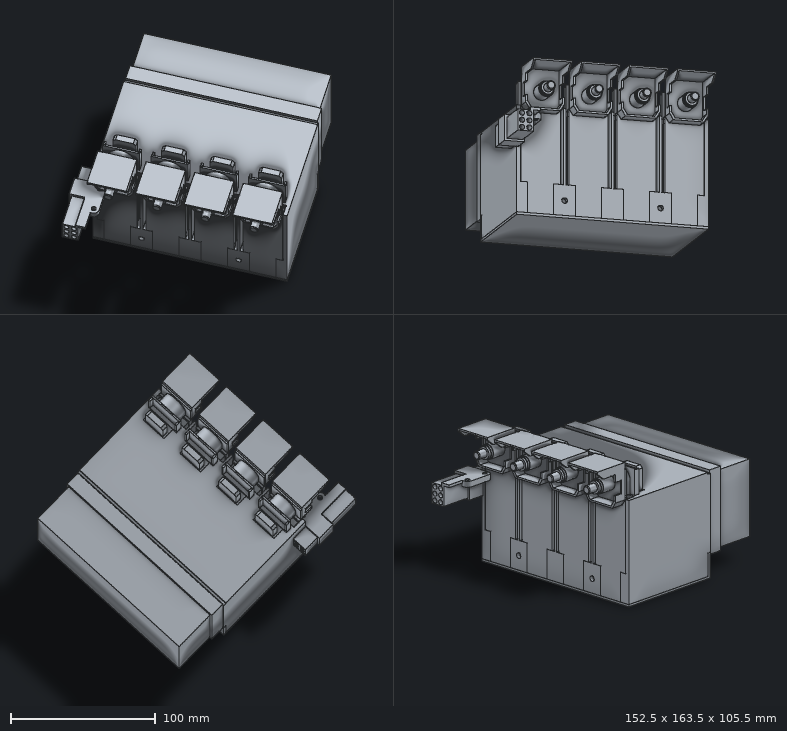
import cadquery as cq

OVERALL_DEPTH = 163.5
OVERALL_HEIGHT = 105.5
POLE_COUNT = 4
POLE_PITCH = 34.8
WIDTH = POLE_COUNT * POLE_PITCH
HOUSING_TOP = 78.2
PLATE_THICKNESS = 1.8
STEP_DROP = 1.3

FLANGE_WIDTH = 137.7
FLANGE_BOTTOM = 17.0
FLANGE_TOP = 79.1
FLANGE_THICKNESS = 11.1
BLOCK_WIDTH = 134.4
BLOCK_BOTTOM = 19.0
BLOCK_TOP = 76.0
BLOCK_DEPTH = 31.2
CONNECTOR_REACH = 38.6
HOUSING_DEPTH = OVERALL_DEPTH - CONNECTOR_REACH - BLOCK_DEPTH - FLANGE_THICKNESS

WALL_THICKNESS = 2.3
WALL_TOP = BLOCK_BOTTOM
WALL_FRONT = HOUSING_DEPTH - WALL_THICKNESS

POCKET_DEPTH = 8.5
SIDE_WALL = 3.0
RIB_WIDTH = 2.0
PANEL_WIDTH = 28.5
PANEL_FACE_THICKNESS = 3.1
BACKING_WIDTH = 26.8
BACKING_DROP = 4.1
STEM_WIDTH = 19.0
SHOULDER_Z = 23.7
TAB_HOLE_DIAMETER = 4.0
TAB_HOLE_Z = 12.5
TAB_HOLE_DEPTH = 3.3
TAB_HOLE_POLES = (-1, 1)

HOOD_WIDTH = 28.1
HOOD_BOTTOM = 73.5
HOOD_WALL = 1.3
HOOD_DEPTH = 10.0
ROOF_REACH = 27.8
ROOF_SIDE_HEIGHT = 6.7
ROOF_TIP_HEIGHT = 2.0
ROOF_SLOPE_LENGTH = 5.7
HOOD_CHAMFER_X = 2.8
HOOD_CHAMFER_Z = 4.4
HOOD_BACK = 1.3
WINDOW_BOTTOM = 83.4
WINDOW_TOP = 93.2
WINDOW_DEPTH = 6.4

STUD_Z = 87.8
NUT_RADIUS = 5.5
NUT_END = 12.9
WASHER_RADIUS = 5.2
WASHER_END = 14.5
COLLAR_RADIUS = 4.7
COLLAR_END = 16.5
STUD_RADIUS = 3.1
STUD_END = 24.4
STUD_CHAMFER = 0.7

BACK_PLATE_WIDTH = 27.8
BACK_PLATE_THICKNESS = 1.3
BACK_PLATE_TOP = 100.2
BARREL_RADIUS = 9.0
BARREL_REAR = 10.5
CLAMP_FRONT = BARREL_REAR
CLAMP_WIDTH = 26.5
CLAMP_REAR = 14.9
CLAMP_SIDE_TOP = 97.0
CLAMP_PLATE_TOP = 98.0
CLAMP_WALL = 1.3
POST_WIDTH = 16.7
POST_FRONT = 19.0
POST_REAR = 23.4
POST_TOP = 95.8
POST_CHAMFER = 2.0
SLOT_WIDTH = 19.6
SLOT_REAR = 23.9
SLOT_DEPTH = 3.3

PLUG_LEFT = 81.1
PLUG_BOTTOM = 49.9
PLUG_TOP = 65.0
PLUG_REAR = 12.3
BODY_LEFT = 82.9
BODY_RIGHT = 68.5
BODY_BOTTOM = 48.4
BODY_TOP = 67.0
BODY_DEPTH = 13.9
ARM_LEFT = 71.8
ARM_RIGHT = 64.6
EAR_X = -63.1
EAR_RADIUS = 4.0
EAR_THICKNESS = 4.4
EAR_HOLE_YS = (-4.3, -21.6)
EAR_HOLE_DIAMETER = 3.3
PIN_HOLE_DIAMETER = 3.6
PIN_PITCH_X = 5.4
PIN_PITCH_Z = 5.0


def box(x_range, y_range, z_range):
    """Block between the two limits given for each axis."""
    size = [high - low for low, high in (x_range, y_range, z_range)]
    corner = (x_range[0], y_range[0], z_range[0])
    return cq.Workplane("XY").box(*size, centered=False).translate(corner)


def centred_box(width, y_range, z_range, x=0):
    """Block of the given width, centred on x."""
    return box((x - width / 2, x + width / 2), y_range, z_range)


def rod(radius, y_rear, y_front, x, z):
    """Round rod along Y."""
    return cq.Workplane("XZ", origin=(x, y_rear, z)).circle(radius).extrude(y_rear - y_front)


def pole_x(index):
    return (index - (POLE_COUNT - 1) / 2) * POLE_PITCH


def make_chassis():
    bottom = centred_box(WIDTH, (0, HOUSING_DEPTH), (0, PLATE_THICKNESS))
    rear_wall = centred_box(WIDTH, (WALL_FRONT, HOUSING_DEPTH), (0, WALL_TOP))
    return bottom.union(rear_wall)


def pocket_limits(index):
    """Left and right sides of one front pocket; the end pockets stop at the side walls."""
    left = pole_x(index) - POLE_PITCH / 2 + RIB_WIDTH / 2
    right = pole_x(index) + POLE_PITCH / 2 - RIB_WIDTH / 2
    inner_side = WIDTH / 2 - SIDE_WALL
    return max(left, -inner_side), min(right, inner_side)


def make_housing():
    housing = centred_box(WIDTH, (0, WALL_FRONT), (PLATE_THICKNESS, HOUSING_TOP))
    rear_step = (WALL_TOP, HOUSING_TOP - STEP_DROP)
    housing = housing.union(centred_box(WIDTH, (WALL_FRONT, HOUSING_DEPTH), rear_step))
    for index in range(POLE_COUNT):
        x = pole_x(index)
        pocket = box(pocket_limits(index), (0, POCKET_DEPTH), (SHOULDER_Z, HOUSING_TOP))
        stem_slot = centred_box(STEM_WIDTH, (0, POCKET_DEPTH), (PLATE_THICKNESS, SHOULDER_Z), x)
        housing = housing.cut(pocket).cut(stem_slot).cut(make_slot_pad(x))
    for side in TAB_HOLE_POLES:
        hole = rod(TAB_HOLE_DIAMETER / 2, TAB_HOLE_DEPTH, 0, side * POLE_PITCH, TAB_HOLE_Z)
        housing = housing.cut(hole)
    return housing


def make_rear_unit():
    flange_rear = HOUSING_DEPTH + FLANGE_THICKNESS
    flange = centred_box(FLANGE_WIDTH, (HOUSING_DEPTH, flange_rear), (FLANGE_BOTTOM, FLANGE_TOP))
    block_range = (flange_rear, flange_rear + BLOCK_DEPTH)
    return flange.union(centred_box(BLOCK_WIDTH, block_range, (BLOCK_BOTTOM, BLOCK_TOP)))


def make_slot_pad(x):
    """Pad under the post, let into the top of the housing."""
    return centred_box(SLOT_WIDTH, (CLAMP_FRONT, SLOT_REAR), (HOUSING_TOP - SLOT_DEPTH, HOUSING_TOP), x)


def hood_outline(inset):
    """Front outline of the hood, moved inwards by inset, with its lower corners cut off."""
    half = HOOD_WIDTH / 2 - inset
    bottom = HOOD_BOTTOM + inset
    top = OVERALL_HEIGHT - inset
    return [
        (-half, top),
        (-half, bottom + HOOD_CHAMFER_Z),
        (-half + HOOD_CHAMFER_X, bottom),
        (half - HOOD_CHAMFER_X, bottom),
        (half, bottom + HOOD_CHAMFER_Z),
        (half, top),
    ]


def make_hood():
    outer = cq.Workplane("XZ").polyline(hood_outline(0)).close().extrude(ROOF_REACH)
    inner = cq.Workplane("XZ", origin=(0, -HOOD_BACK, 0)).polyline(hood_outline(HOOD_WALL)).close()
    roof_underside = OVERALL_HEIGHT - ROOF_SIDE_HEIGHT
    side_profile = [
        (0, OVERALL_HEIGHT),
        (0, HOOD_BOTTOM),
        (-HOOD_DEPTH, HOOD_BOTTOM),
        (-HOOD_DEPTH, roof_underside),
        (-ROOF_REACH + ROOF_SLOPE_LENGTH, roof_underside),
        (-ROOF_REACH, OVERALL_HEIGHT - ROOF_TIP_HEIGHT),
        (-ROOF_REACH, OVERALL_HEIGHT),
    ]
    side = cq.Workplane("YZ").polyline(side_profile).close().extrude(HOOD_WIDTH / 2, both=True)
    windows = centred_box(
        HOOD_WIDTH,
        (-HOOD_DEPTH, -HOOD_DEPTH + WINDOW_DEPTH),
        (WINDOW_BOTTOM, WINDOW_TOP),
    )
    return outer.intersect(side).cut(inner.extrude(ROOF_REACH)).cut(windows)


def make_stud():
    shank = rod(STUD_RADIUS, 0, -STUD_END, 0, STUD_Z).faces("<Y").chamfer(STUD_CHAMFER)
    nut = rod(NUT_RADIUS, 0, -NUT_END, 0, STUD_Z)
    washer = rod(WASHER_RADIUS, 0, -WASHER_END, 0, STUD_Z)
    collar = rod(COLLAR_RADIUS, 0, -COLLAR_END, 0, STUD_Z)
    return shank.union(nut).union(washer).union(collar)


def make_panel():
    """T-shaped front panel with a lower, narrower backing; its stem reaches down to the chassis."""
    face = centred_box(PANEL_WIDTH, (0, PANEL_FACE_THICKNESS), (SHOULDER_Z, HOUSING_TOP))
    backing_height = (SHOULDER_Z, HOUSING_TOP - BACKING_DROP)
    backing = centred_box(BACKING_WIDTH, (PANEL_FACE_THICKNESS, POCKET_DEPTH), backing_height)
    stem = centred_box(STEM_WIDTH, (0, POCKET_DEPTH), (PLATE_THICKNESS, SHOULDER_Z))
    return face.union(backing).union(stem)


def make_clamp():
    """Upright plate with a side wall at each end and a floor between them, open to the rear."""
    plate_rear = CLAMP_FRONT + CLAMP_WALL
    plate = centred_box(CLAMP_WIDTH, (CLAMP_FRONT, plate_rear), (HOUSING_TOP, CLAMP_PLATE_TOP))
    sides = centred_box(CLAMP_WIDTH, (plate_rear, CLAMP_REAR), (HOUSING_TOP, CLAMP_SIDE_TOP))
    opening = (HOUSING_TOP + CLAMP_WALL, CLAMP_SIDE_TOP)
    inside = centred_box(CLAMP_WIDTH - 2 * CLAMP_WALL, (plate_rear, CLAMP_REAR), opening)
    return plate.union(sides.cut(inside))


def make_contacts():
    """Back plate, barrel, clamp and post standing on top of the housing."""
    back_plate = centred_box(BACK_PLATE_WIDTH, (0, BACK_PLATE_THICKNESS), (HOUSING_TOP, BACK_PLATE_TOP))
    barrel = rod(BARREL_RADIUS, BARREL_REAR, 0, 0, STUD_Z)
    barrel_foot = centred_box(2 * BARREL_RADIUS, (0, BARREL_REAR), (HOUSING_TOP, STUD_Z))
    post = centred_box(POST_WIDTH, (POST_FRONT, POST_REAR), (HOUSING_TOP, POST_TOP))
    post = post.edges("|Y and >Z").chamfer(POST_CHAMFER)
    contacts = back_plate.union(barrel).union(barrel_foot)
    return contacts.union(make_clamp()).union(post).union(make_slot_pad(0))


def make_terminal(index):
    terminal = make_panel().union(make_hood()).union(make_stud()).union(make_contacts())
    return terminal.translate((pole_x(index), 0, 0))


def make_ear():
    """Rounded strip with two vertical holes."""
    length = EAR_HOLE_YS[0] - EAR_HOLE_YS[1]
    middle = (EAR_HOLE_YS[0] + EAR_HOLE_YS[1]) / 2
    base = cq.Workplane("XY", origin=(EAR_X, middle, BODY_TOP - EAR_THICKNESS))
    return base.slot2D(length + 2 * EAR_RADIUS, 2 * EAR_RADIUS, 90).extrude(EAR_THICKNESS)


def make_connector():
    plug_right = -WIDTH / 2
    plug = box((-PLUG_LEFT, plug_right), (-CONNECTOR_REACH, PLUG_REAR), (PLUG_BOTTOM, PLUG_TOP))
    body = box((-BODY_LEFT, -BODY_RIGHT), (-BODY_DEPTH, 0), (BODY_BOTTOM, BODY_TOP))
    arm = box((-ARM_LEFT, -ARM_RIGHT), (-CONNECTOR_REACH, 0), (PLUG_TOP, BODY_TOP))
    connector = plug.union(body).union(arm).union(make_ear())
    for y in EAR_HOLE_YS:
        ear_hole = cq.Workplane("XY", origin=(EAR_X, y, 0)).circle(EAR_HOLE_DIAMETER / 2)
        connector = connector.cut(ear_hole.extrude(BODY_TOP))
    plug_x = (plug_right - PLUG_LEFT) / 2
    plug_z = (PLUG_BOTTOM + PLUG_TOP) / 2
    for column in (-0.5, 0.5):
        for row in (-1, 0, 1):
            x = plug_x + column * PIN_PITCH_X
            z = plug_z + row * PIN_PITCH_Z
            connector = connector.cut(rod(PIN_HOLE_DIAMETER / 2, PLUG_REAR, -CONNECTOR_REACH, x, z))
    return connector


chassis = make_chassis()
housing = make_housing()
rear_unit = make_rear_unit()
connector = make_connector()
terminals = [make_terminal(index) for index in range(POLE_COUNT)]

result = cq.Compound.makeCompound(
    [
        chassis.val(),
        housing.val(),
        rear_unit.val(),
        connector.val(),
        *[terminal.val() for terminal in terminals],
    ]
)